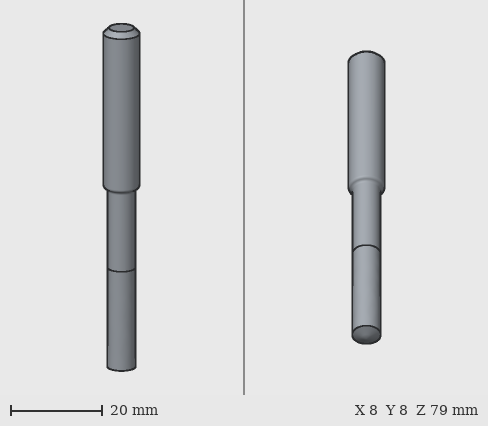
import cadquery as cq
import math

TOTAL_LENGTH = 79.0
SHANK_LOWER_END = 43.0
NECK_TOP = 41.55
JOINT_HEIGHT = 23.9

SHANK_DIAMETER = 8.0
NECK_DIAMETER = 6.2
TIP_DIAMETER = 6.25

TOP_CHAMFER = 1.3
POINT_ANGLE = 140.0

shank_radius = SHANK_DIAMETER / 2
neck_radius = NECK_DIAMETER / 2
tip_radius = TIP_DIAMETER / 2
point_height = tip_radius / math.tan(math.radians(POINT_ANGLE / 2))


def make_shank():
    """Chamfered shank that blends into a thinner neck through an S-curve."""
    shoulder_middle = ((shank_radius + neck_radius) / 2, (SHANK_LOWER_END + NECK_TOP) / 2)
    return (
        cq.Workplane("XZ")
        .moveTo(0, JOINT_HEIGHT)
        .lineTo(neck_radius, JOINT_HEIGHT)
        .lineTo(neck_radius, NECK_TOP)
        .tangentArcPoint(shoulder_middle, relative=False)
        .tangentArcPoint((shank_radius, SHANK_LOWER_END), relative=False)
        .lineTo(shank_radius, TOTAL_LENGTH - TOP_CHAMFER)
        .lineTo(shank_radius - TOP_CHAMFER, TOTAL_LENGTH)
        .lineTo(0, TOTAL_LENGTH)
        .close()
        .revolve(360, (0, 0), (0, 1))
    )


def make_cutting_tip():
    """Slightly back-tapered cutting length with a conical drill point, butted against the neck."""
    return (
        cq.Workplane("XZ")
        .lineTo(tip_radius, point_height)
        .lineTo(neck_radius, JOINT_HEIGHT)
        .lineTo(0, JOINT_HEIGHT)
        .close()
        .revolve(360, (0, 0), (0, 1))
    )


shank = make_shank()
cutting_tip = make_cutting_tip()

result = cq.Compound.makeCompound([shank.val(), cutting_tip.val()])